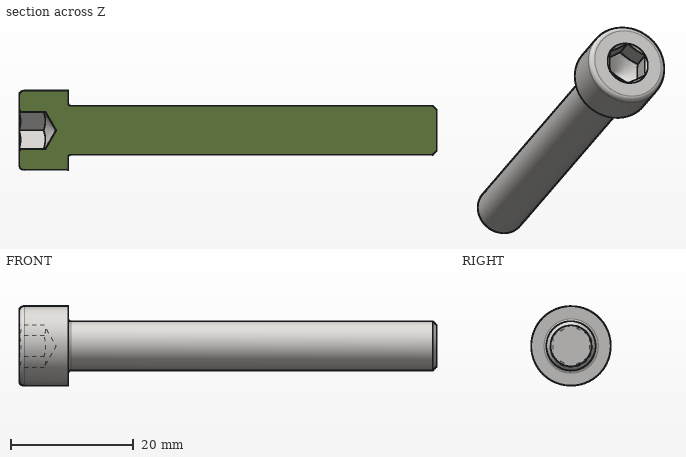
import cadquery as cq
import math

total_length = 68.0
head_diameter = 13.0
head_length = 8.0
head_edge_radius = 0.8
shank_diameter = 8.0
tip_chamfer = 0.7
underhead_fillet = 0.4

socket_across_flats = 6.0
socket_depth = 4.0
socket_cone_half_angle = 60.0

head_radius = head_diameter / 2
shank_radius = shank_diameter / 2
socket_corner_radius = socket_across_flats / 2 / math.cos(math.radians(30))
socket_cone_depth = socket_corner_radius / math.tan(math.radians(socket_cone_half_angle))

head_face_x = -total_length / 2
head_seat_x = head_face_x + head_length
tip_x = total_length / 2
socket_floor_x = head_face_x + socket_depth


def revolve_about_x(half_profile):
    """Turn a closed half profile a full revolution about the X axis."""
    return half_profile.revolve(360, (0, 0, 0), (1, 0, 0))


def make_body():
    """Head and shank, with rounded head edge, underhead fillet and tip chamfer."""
    half_profile = (
        cq.Workplane("XY")
        .moveTo(head_face_x, 0)
        .lineTo(head_face_x, head_radius - head_edge_radius)
        .radiusArc((head_face_x + head_edge_radius, head_radius), head_edge_radius)
        .lineTo(head_seat_x, head_radius)
        .lineTo(head_seat_x, shank_radius + underhead_fillet)
        .radiusArc((head_seat_x + underhead_fillet, shank_radius), -underhead_fillet)
        .lineTo(tip_x - tip_chamfer, shank_radius)
        .lineTo(tip_x, shank_radius - tip_chamfer)
        .lineTo(tip_x, 0)
        .close()
    )
    return revolve_about_x(half_profile)


def make_cone(base_x):
    """Cone as wide as the hexagon's corners, base at base_x, pointing toward +X."""
    half_profile = (
        cq.Workplane("XY")
        .moveTo(base_x, 0)
        .lineTo(base_x, socket_corner_radius)
        .lineTo(base_x + socket_cone_depth, 0)
        .close()
    )
    return revolve_about_x(half_profile)


def make_hexagon(start_x, length):
    """Hexagonal prism along X with two corners pointing along Z."""
    return (
        cq.Workplane("YZ", origin=(start_x, 0, 0))
        .transformed(rotate=(0, 0, 90))
        .polygon(6, 2 * socket_corner_radius)
        .extrude(length)
    )


def make_socket():
    """Hexagonal hole whose floor is a cone trimmed by the flats, with a conical mouth."""
    hexagon = make_hexagon(head_face_x, socket_depth)
    floor = make_hexagon(socket_floor_x, socket_cone_depth).intersect(make_cone(socket_floor_x))
    mouth = make_cone(head_face_x)
    return hexagon.union(floor).union(mouth)


result = make_body().cut(make_socket())